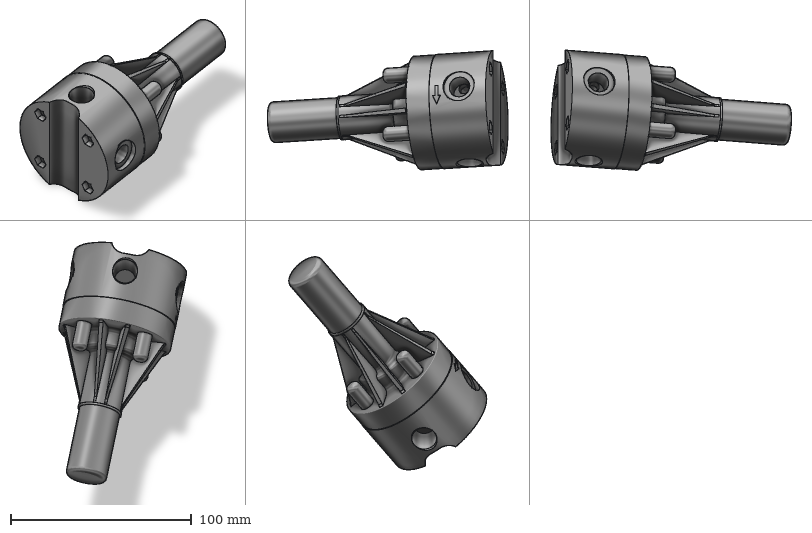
import cadquery as cq
import math

length = 128.3

body_dia = 63.5
body_length = 32.0
flange_dia = 63.1
flange_back = 44.9
flange_fillet = 0.4

shank_dia = 22.7
shank_dome_radius = 74.4
shank_end_fillet = 2.6
ring_dia = 24.4
ring_bottom = 87.2
ring_width = 1.2
ring_fillet = 0.3
tube_dia = 24.1
hub_shoulder = 55.8
hub_fillet = 2.5
hub_dia = tube_dia + 4 * hub_fillet
hub_foot_fillet = 3.3

rib_pair_angle = 15.0
rib_top = 86.5
rib_land_bottom = 83.9
rib_land_radius = 12.2
rib_base_radius = 28.7
rib_toe_height = 1.2
rib_toe_length = 1.0
rib_base_width = 2.5
rib_top_width = 1.3
rib_embed = 1.9

screw_offset = 17.0
screw_dia = 8.3
screw_end = 60.5
screw_end_fillet = 2.7
hex_flats = 6.9
hex_depth = 3.8

channel_half_width = 10.4
channel_floor_half_width = 3.0
channel_depth = 5.3

port_y = 15.3
port_dia = 11.4
port_depth = 15.4
top_port_mouth_dia = 13.7
top_port_chamfer = 0.8
side_port_z = 3.7
counterbore_dia = 17.6
counterbore_depth = 3.0
pilot_dia = 5.5
pilot_depth = 5.1
pilot_z = side_port_z + (port_dia - pilot_dia) / 2
drill_tip_angle = 118.0

arrow_y = 27.7
arrow_tail_z = 4.6
arrow_neck_z = -1.3
arrow_tip_z = -6.0
arrow_shaft_width = 1.8
arrow_head_width = 4.2
arrow_depth = 0.4

screw_points = [(sx * screw_offset, sz * screw_offset) for sx in (-1, 1) for sz in (-1, 1)]


def disc(dia, start, end):
    """Solid cylinder about the Y axis between two Y positions."""
    return cq.Workplane("XZ", origin=(0, start, 0)).circle(dia / 2).extrude(start - end)


def make_shank():
    """Round bar along the full length with a shallow domed end."""
    shank_r = shank_dia / 2
    dome_drop = shank_dome_radius - math.sqrt(shank_dome_radius**2 - shank_r**2)
    mid_drop = shank_dome_radius - math.sqrt(shank_dome_radius**2 - (shank_r / 2) ** 2)
    return (
        cq.Workplane("XY")
        .moveTo(0, flange_back)
        .lineTo(shank_r, flange_back)
        .lineTo(shank_r, length - dome_drop)
        .threePointArc((shank_r / 2, length - mid_drop), (0, length))
        .close()
        .revolve(360, (0, 0), (0, 1))
        .faces(">Y")
        .edges("<Y")
        .fillet(shank_end_fillet)
    )


def make_tube():
    """Tube around the shank with a ring at its end and a stepped, filleted hub at its foot."""
    tube_r = tube_dia / 2
    hub_r = hub_dia / 2
    blend_r = tube_r + hub_fillet
    hub_arc = hub_fillet * math.sqrt(0.5)
    foot_arc = hub_foot_fillet * (1 - math.sqrt(0.5))
    hub_side_top = hub_shoulder - hub_fillet
    hub_blend_top = hub_shoulder + hub_fillet
    tube = (
        cq.Workplane("XY")
        .moveTo(0, flange_back)
        .lineTo(hub_r + hub_foot_fillet, flange_back)
        .threePointArc(
            (hub_r + foot_arc, flange_back + foot_arc),
            (hub_r, flange_back + hub_foot_fillet),
        )
        .lineTo(hub_r, hub_side_top)
        .threePointArc((blend_r + hub_arc, hub_side_top + hub_arc), (blend_r, hub_shoulder))
        .threePointArc((blend_r - hub_arc, hub_blend_top - hub_arc), (tube_r, hub_blend_top))
        .lineTo(tube_r, ring_bottom)
        .lineTo(0, ring_bottom)
        .close()
        .revolve(360, (0, 0), (0, 1))
    )
    ring = disc(ring_dia, ring_bottom, ring_bottom + ring_width).faces(">Y").edges().fillet(ring_fillet)
    return tube.union(ring)


def make_rib():
    """One rib along +X: a sloping outline with a short toe, tapering in width along Y."""
    root = tube_dia / 2 - rib_embed
    outline = (
        cq.Workplane("XY")
        .polyline([
            (root, flange_back),
            (rib_base_radius + rib_toe_length, flange_back),
            (rib_base_radius, flange_back + rib_toe_height),
            (rib_land_radius, rib_land_bottom),
            (rib_land_radius, rib_top),
            (root, rib_top),
        ])
        .close()
        .extrude(rib_base_width, both=True)
    )
    taper = (
        cq.Workplane("YZ")
        .polyline([
            (flange_back, -rib_base_width / 2),
            (rib_top, -rib_top_width / 2),
            (rib_top, rib_top_width / 2),
            (flange_back, rib_base_width / 2),
        ])
        .close()
        .extrude(flange_dia / 2)
    )
    return outline.intersect(taper)


def make_ribs():
    rib = make_rib()
    angles = [90 * quarter + side * rib_pair_angle for quarter in range(4) for side in (-1, 1)]
    ribs = cq.Workplane("XY")
    for angle in angles:
        ribs = ribs.union(rib.rotate((0, 0, 0), (0, 1, 0), angle))
    return ribs


def make_flange():
    return disc(flange_dia, body_length, flange_back).edges("%CIRCLE").fillet(flange_fillet)


def make_screw_ends():
    """Rounded screw ends standing on the back of the flange."""
    return (
        cq.Workplane("XZ", origin=(0, flange_back, 0))
        .pushPoints(screw_points)
        .circle(screw_dia / 2)
        .extrude(flange_back - screw_end)
        .faces(">Y")
        .edges()
        .fillet(screw_end_fillet)
    )


def make_hex_sockets():
    """Hexagon sockets in the front face, with two flats facing +Z and -Z."""
    return (
        cq.Workplane("XZ")
        .pushPoints(screw_points)
        .polygon(6, hex_flats / math.cos(math.pi / 6))
        .extrude(-hex_depth)
    )


def make_channel():
    """Flat-floored channel along Z whose sides are arcs tangent to the floor."""
    run = channel_half_width - channel_floor_half_width
    radius = (run**2 + channel_depth**2) / (2 * channel_depth)
    half_sweep = math.asin(run / radius) / 2
    mid_x = channel_floor_half_width + radius * math.sin(half_sweep)
    mid_y = channel_depth - radius * (1 - math.cos(half_sweep))
    return (
        cq.Workplane("XY")
        .moveTo(-channel_half_width, 0)
        .threePointArc((-mid_x, mid_y), (-channel_floor_half_width, channel_depth))
        .lineTo(channel_floor_half_width, channel_depth)
        .threePointArc((mid_x, mid_y), (channel_half_width, 0))
        .close()
        .extrude(body_dia, both=True)
    )


def make_top_port():
    """Tapered blind port entering from +Z, chamfered at its mouth."""
    surface = body_dia / 2
    mouth_r = top_port_mouth_dia / 2
    return (
        cq.Workplane("XZ", origin=(0, port_y, 0))
        .polyline([
            (0, surface - port_depth),
            (port_dia / 2, surface - port_depth),
            (mouth_r, surface - top_port_chamfer),
            (mouth_r + top_port_chamfer, surface),
            (0, surface),
        ])
        .close()
        .revolve(360, (0, 0), (0, 1))
    )


def make_side_port():
    """Counterbored port entering from -X, with an off-centre pilot hole in its floor."""
    surface = -body_dia / 2
    floor = surface + port_depth
    pilot_r = pilot_dia / 2
    tip = pilot_r / math.tan(math.radians(drill_tip_angle / 2))
    bore = cq.Workplane("YZ", origin=(surface, port_y, side_port_z))
    pilot = (
        cq.Workplane("XY", origin=(0, port_y, pilot_z))
        .polyline([
            (floor, 0),
            (floor, pilot_r),
            (floor + pilot_depth, pilot_r),
            (floor + pilot_depth + tip, 0),
        ])
        .close()
        .revolve(360, (0, 0), (1, 0))
    )
    return (
        bore.circle(port_dia / 2).extrude(port_depth)
        .union(bore.circle(counterbore_dia / 2).extrude(counterbore_depth))
        .union(pilot)
    )


def make_arrow():
    """Arrow of constant depth following the -X side of the body."""
    shaft = arrow_shaft_width / 2
    head = arrow_head_width / 2
    prism = (
        cq.Workplane("YZ")
        .polyline([
            (arrow_y - shaft, arrow_tail_z),
            (arrow_y + shaft, arrow_tail_z),
            (arrow_y + shaft, arrow_neck_z),
            (arrow_y + head, arrow_neck_z),
            (arrow_y, arrow_tip_z),
            (arrow_y - head, arrow_neck_z),
            (arrow_y - shaft, arrow_neck_z),
        ])
        .close()
        .extrude(-body_dia)
    )
    return prism.cut(disc(body_dia - 2 * arrow_depth, 0, body_length))


top_port = make_top_port()
side_port = make_side_port()

result = (
    disc(body_dia, 0, body_length)
    .union(make_flange())
    .union(make_shank())
    .union(make_tube())
    .union(make_ribs())
    .union(make_screw_ends())
    .cut(make_channel())
    .cut(make_hex_sockets())
    .cut(top_port)
    .cut(top_port.mirror("XY"))
    .cut(side_port)
    .cut(side_port.mirror("YZ"))
    .cut(make_arrow())
)